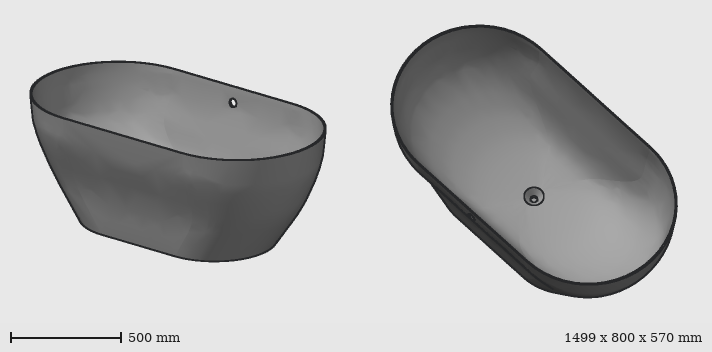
import cadquery as cq

RIM_HEIGHT = 570.0
RIM_LENGTH = 1499.0
RIM_WIDTH = 800.0
RIM_END_WALL = 8.5
RIM_SIDE_WALL = 5.0

FOOT_LENGTH = 996.0
FOOT_WIDTH = 568.0

OUTER_STATIONS = [
    (0.0, FOOT_LENGTH, FOOT_WIDTH),
    (135.0, 1194.0, 597.0),
    (265.0, 1348.0, 654.0),
    (415.0, 1460.0, 758.0),
    (495.0, 1484.0, 788.0),
    (RIM_HEIGHT, RIM_LENGTH, RIM_WIDTH),
]

FLOOR_HEIGHT = 114.0
BASIN_STATIONS = [
    (FLOOR_HEIGHT, 84.0, 78.0),
    (124.0, 370.0, 256.0),
    (140.0, 590.0, 386.0),
    (165.0, 780.0, 478.0),
    (205.0, 984.0, 544.0),
    (255.0, 1170.0, 596.0),
    (323.0, 1332.0, 646.0),
    (398.0, 1414.0, 710.0),
    (485.0, 1456.0, 764.0),
    (RIM_HEIGHT, RIM_LENGTH - 2 * RIM_END_WALL, RIM_WIDTH - 2 * RIM_SIDE_WALL),
]

DRAIN_TOP_DIAMETER = 90.0
DRAIN_HOLE_DIAMETER = 32.0
DRAIN_CONE_DEPTH = 30.0
DRAIN_HOLE_DEPTH = 20.0
DRAIN_RIM_CLEARANCE = 5.0

OVERFLOW_DIAMETER = 40.0
OVERFLOW_BELOW_RIM = 75.0
OVERFLOW_OFFSET = 9.0


def stadium(height, length, width):
    """Closed stadium outline, centred on the Z axis at the given height."""
    radius = width / 2
    straight = length / 2 - radius
    return (
        cq.Workplane("XY", origin=(0, 0, height))
        .moveTo(-straight, -radius)
        .lineTo(straight, -radius)
        .threePointArc((straight + radius, 0), (straight, radius))
        .lineTo(-straight, radius)
        .threePointArc((-straight - radius, 0), (-straight, -radius))
        .close()
        .val()
    )


def smooth_loft(stations):
    """Smooth solid through a stack of stadium outlines."""
    outlines = [stadium(*station) for station in stations]
    solid = cq.occ_impl.shapes.loft(outlines, cap=True, parametrization="centripetal")
    return cq.Workplane(solid)


def drain():
    """Funnel and blind hole cut down from the basin floor."""
    top_radius = DRAIN_TOP_DIAMETER / 2
    hole_radius = DRAIN_HOLE_DIAMETER / 2
    cone_bottom = FLOOR_HEIGHT - DRAIN_CONE_DEPTH
    return (
        cq.Workplane("XZ")
        .moveTo(0, FLOOR_HEIGHT + DRAIN_RIM_CLEARANCE)
        .lineTo(top_radius, FLOOR_HEIGHT + DRAIN_RIM_CLEARANCE)
        .lineTo(top_radius, FLOOR_HEIGHT)
        .lineTo(hole_radius, cone_bottom)
        .lineTo(hole_radius, cone_bottom - DRAIN_HOLE_DEPTH)
        .lineTo(0, cone_bottom - DRAIN_HOLE_DEPTH)
        .close()
        .revolve(360, (0, 0, 0), (0, 1, 0))
    )


def overflow():
    """Horizontal bore from inside the basin out through the +Y wall."""
    return (
        cq.Workplane("XZ", origin=(OVERFLOW_OFFSET, 0, RIM_HEIGHT - OVERFLOW_BELOW_RIM))
        .circle(OVERFLOW_DIAMETER / 2)
        .extrude(-RIM_WIDTH)
    )


body = smooth_loft(OUTER_STATIONS)
basin = smooth_loft(BASIN_STATIONS)
result = body.cut(basin).cut(drain()).cut(overflow())